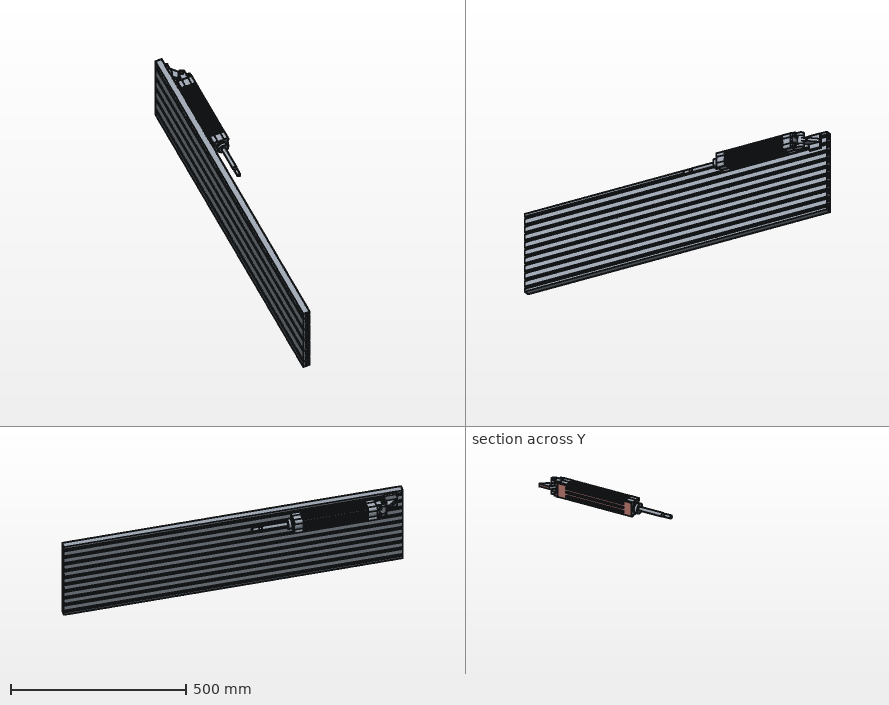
import cadquery as cq
import math

plate_length = 1000.0
plate_thickness = 20.0
plate_height = 250.0
slot_pitch = 25.0
slot_neck_width = 8.0
slot_neck_depth = 5.0
slot_cavity_width = 14.0
slot_depth = 12.0
groove_pitch = 2 * slot_pitch
groove_width = 5.0
groove_depth = 3.0

body_width = 46.0
overall_depth = 75.0
axis_y = overall_depth - body_width / 2
axis_z = 224.0
pivot_x = 67.0
pivot_to_cap = 22.0

foot_start = 19.0
foot_length = 36.0
foot_thickness = 8.0
foot_width = 44.0
web_width = 10.0
web_heel = 1.0
web_shoulder_x = 47.0
web_shoulder_height = 23.0
boss_radius = 10.0
boss_width = 26.0

clevis_width = 45.0
clevis_corner_radius = 6.0
flange_thickness = 6.0
ear_radius = 10.0
pin_diameter = 10.0
pin_overhang = 3.0
screw_spacing = 32.0
screw_head_diameter = 12.0
screw_head_height = 6.0

cap_length = 27.0
housing_length = 245.0
cap_lobe_radius = (body_width - screw_spacing) / 2
cap_core_diameter = 43.0
barrel_width = 45.0
barrel_corner_radius = 6.0
barrel_groove_pitch = 13.0
barrel_groove_width = 8.0
barrel_groove_depth = 2.0
barrel_slit_width = 4.0
barrel_slit_depth = 6.0
neck_diameter = 29.0
neck_length = 5.0
collar_diameter = 30.0
collar_length = 10.0

rod_diameter = 12.0
rod_shoulder_x = 425.0
thread_start_x = 433.0
rod_end_x = 455.0
undercut_diameter = 9.0
thread_diameter = 10.0
thread_chamfer = 2.0

cap_rear_x = pivot_x + pivot_to_cap
barrel_start_x = cap_rear_x + cap_length
cap_front_x = cap_rear_x + housing_length
barrel_end_x = cap_front_x - cap_length
collar_start_x = cap_front_x + neck_length
foot_top_y = plate_thickness + foot_thickness


def box_between(x_range, y_range, z_range):
    """Axis-aligned box from three (low, high) pairs."""
    sizes = [high - low for low, high in (x_range, y_range, z_range)]
    corner = (x_range[0], y_range[0], z_range[0])
    return cq.Workplane("XY").box(*sizes, centered=False).translate(corner)


def around(center, width):
    """(low, high) pair of the given width about a centre."""
    return (center - width / 2, center + width / 2)


def axis_plane(x):
    """Workplane across the cylinder axis at the given X, with local x along +Y and local y along +Z."""
    return cq.Workplane("YZ", origin=(x, axis_y, axis_z))


def axis_rod(start_x, end_x, diameter):
    """Round bar on the cylinder axis."""
    return axis_plane(start_x).circle(diameter / 2).extrude(end_x - start_x)


def pivot_disc(radius, z_range):
    """Round bar on the pivot axis, parallel to Z."""
    low, high = z_range
    return cq.Workplane("XY", origin=(pivot_x, axis_y, low)).circle(radius).extrude(high - low)


def make_plate():
    plate = box_between((0, plate_length), (0, plate_thickness), (0, plate_height))
    full_length = (0, plate_length)
    cavity_floor_y = plate_thickness - slot_depth
    cavity_y = (cavity_floor_y, plate_thickness - slot_neck_depth)
    neck_y = (cavity_floor_y, plate_thickness)
    for index in range(round(plate_height / slot_pitch)):
        slot_z = (index + 0.5) * slot_pitch
        plate = plate.cut(box_between(full_length, neck_y, around(slot_z, slot_neck_width)))
        plate = plate.cut(box_between(full_length, cavity_y, around(slot_z, slot_cavity_width)))
    for index in range(round(plate_height / groove_pitch)):
        low, high = around((index + 0.5) * groove_pitch, groove_width)
        tip = (groove_depth, (low + high) / 2)
        groove = cq.Workplane("YZ").polyline([(0, low), tip, (0, high)]).close().extrude(plate_length)
        plate = plate.cut(groove)
    return plate


def make_bracket():
    foot = box_between(
        (foot_start, foot_start + foot_length),
        (plate_thickness, foot_top_y),
        around(axis_z, foot_width),
    )
    tangent_offset = boss_radius * math.sin(math.pi / 4)
    shoulder_y = foot_top_y + web_shoulder_height
    upper_tangent = (pivot_x - tangent_offset, axis_y + tangent_offset)
    step_x = upper_tangent[0] - (upper_tangent[1] - shoulder_y)
    web_outline = [
        (foot_start + web_heel, foot_top_y),
        (web_shoulder_x, shoulder_y),
        (step_x, shoulder_y),
        upper_tangent,
        (pivot_x + tangent_offset, axis_y - tangent_offset),
        (foot_start + foot_length, foot_top_y),
    ]
    web = (
        cq.Workplane("XY", origin=(0, 0, axis_z - web_width / 2))
        .polyline(web_outline)
        .close()
        .extrude(web_width)
    )
    boss = pivot_disc(boss_radius, around(axis_z, boss_width))
    pin_hole = pivot_disc(pin_diameter / 2, around(axis_z, boss_width))
    return foot.union(web).union(boss).cut(pin_hole)


def make_clevis():
    """Flange with two ears, four screw heads and the pivot pin in one solid."""
    flange_x = cap_rear_x - flange_thickness
    flange = (
        axis_plane(flange_x)
        .rect(clevis_width, clevis_width)
        .extrude(flange_thickness)
        .edges("|X")
        .fillet(clevis_corner_radius)
    )
    screw_heads = (
        axis_plane(flange_x - screw_head_height)
        .rect(screw_spacing, screw_spacing, forConstruction=True)
        .vertices()
        .circle(screw_head_diameter / 2)
        .extrude(screw_head_height)
    )
    ears_z = around(axis_z, clevis_width)
    ears = pivot_disc(ear_radius, ears_z).union(
        box_between((pivot_x, flange_x), around(axis_y, 2 * ear_radius), ears_z)
    )
    gap = box_between(
        (pivot_x - ear_radius, flange_x), around(axis_y, 2 * ear_radius), around(axis_z, boss_width)
    )
    pin = pivot_disc(pin_diameter / 2, (ears_z[0], ears_z[1] + pin_overhang))
    return flange.union(screw_heads).union(ears.cut(gap)).union(pin)


def make_cap(start_x):
    """End cap: round core, filled between four round corner lobes."""
    core = axis_rod(start_x, start_x + cap_length, cap_core_diameter)
    center = axis_plane(start_x).rect(screw_spacing, screw_spacing).extrude(cap_length)
    lobes = (
        axis_plane(start_x)
        .rect(screw_spacing, screw_spacing, forConstruction=True)
        .vertices()
        .circle(cap_lobe_radius)
        .extrude(cap_length)
    )
    return core.union(center).union(lobes)


def make_barrel():
    """Square profile bar with three stepped grooves along each side."""
    length = barrel_end_x - barrel_start_x
    barrel = (
        axis_plane(barrel_start_x)
        .rect(barrel_width, barrel_width)
        .extrude(length)
        .edges("|X")
        .fillet(barrel_corner_radius)
    )
    groove_sections = (
        (barrel_groove_width, barrel_groove_depth),
        (barrel_slit_width, barrel_slit_depth),
    )
    axis_start = (barrel_start_x, axis_y, axis_z)
    axis_end = (barrel_end_x, axis_y, axis_z)
    for side in range(4):
        for index in (-1, 0, 1):
            for width, depth in groove_sections:
                groove = (
                    axis_plane(barrel_start_x)
                    .center(index * barrel_groove_pitch, barrel_width / 2)
                    .rect(width, 2 * depth)
                    .extrude(length)
                    .rotate(axis_start, axis_end, side * 90)
                )
                barrel = barrel.cut(groove)
    return barrel


def make_housing():
    collar_end_x = collar_start_x + collar_length
    neck = axis_rod(cap_front_x, collar_start_x, neck_diameter)
    collar = axis_rod(collar_start_x, collar_end_x, collar_diameter)
    housing = make_cap(cap_rear_x).union(make_barrel()).union(make_cap(barrel_end_x))
    rod_bore = axis_rod(barrel_end_x, collar_end_x, rod_diameter)
    return housing.union(neck).union(collar).cut(rod_bore)


def make_rod():
    shank = axis_rod(barrel_end_x, rod_shoulder_x, rod_diameter)
    undercut = axis_rod(rod_shoulder_x, thread_start_x, undercut_diameter)
    thread = axis_rod(thread_start_x, rod_end_x, thread_diameter).faces(">X").chamfer(thread_chamfer)
    return shank.union(undercut).union(thread)


plate = make_plate()
bracket = make_bracket()
clevis = make_clevis()
housing = make_housing()
rod = make_rod()

result = cq.Compound.makeCompound(
    [plate.val(), bracket.val(), clevis.val(), housing.val(), rod.val()]
)